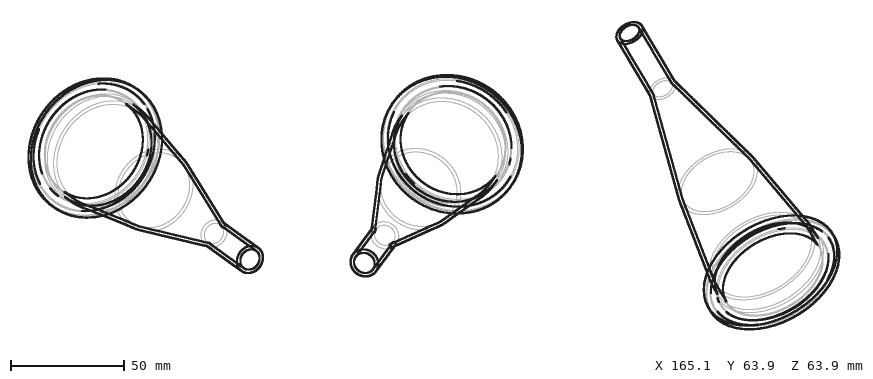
import math

import cadquery as cq

RIM_WIDTH = 2.8
COLLAR_END = 12.7
CONE_BREAK = 63.5
TUBE_START = 127.0
TOTAL_LENGTH = 165.1

FLANGE_DIAMETER = 63.91
LARGE_DIAMETER = 50.8
BREAK_DIAMETER = 38.1
TUBE_DIAMETER = 12.7
WALL = 1.65

BACK_ANGLE = 20.0
NECK_FILLET = 1.2

GROOVE_MEAN_DIAMETER = 56.3
GROOVE_WIDTH = 2.8
GROOVE_DEPTH = 1.4
GROOVE_EDGE_FILLET = 0.6

FACE_EDGE_FILLET = 0.38

MATCH_TOLERANCE = 0.01

AXIS_START = (0, 0, 0)
AXIS_END = (1, 0, 0)
FULL_TURN = 360


def revolve_about_x(profile):
    """Close a half section and turn it a full turn about the X axis."""
    return profile.close().revolve(FULL_TURN, AXIS_START, AXIS_END)


def make_flange():
    """Clamp flange: straight rim, then a back face sloping down to the neck."""
    flange_radius = FLANGE_DIAMETER / 2
    neck_radius = LARGE_DIAMETER / 2
    slope_length = (flange_radius - neck_radius) * math.tan(math.radians(BACK_ANGLE))
    neck_start = RIM_WIDTH + slope_length
    profile = (
        cq.Workplane("XY")
        .lineTo(0, flange_radius)
        .lineTo(RIM_WIDTH, flange_radius)
        .lineTo(neck_start, neck_radius)
        .lineTo(COLLAR_END, neck_radius)
        .lineTo(COLLAR_END, 0)
    )
    flange = revolve_about_x(profile)
    neck_corner = [
        edge
        for edge in flange.edges("%CIRCLE").vals()
        if abs(edge.Center().x - neck_start) < MATCH_TOLERANCE
    ]
    return flange.newObject(neck_corner).fillet(NECK_FILLET)


def make_reducer():
    """Two successive cones ending in a straight tube."""
    profile = (
        cq.Workplane("XY")
        .moveTo(COLLAR_END, 0)
        .lineTo(COLLAR_END, LARGE_DIAMETER / 2)
        .lineTo(CONE_BREAK, BREAK_DIAMETER / 2)
        .lineTo(TUBE_START, TUBE_DIAMETER / 2)
        .lineTo(TOTAL_LENGTH, TUBE_DIAMETER / 2)
        .lineTo(TOTAL_LENGTH, 0)
    )
    return revolve_about_x(profile)


def make_bore():
    """Through bore that follows the outside with a constant radial wall."""
    profile = (
        cq.Workplane("XY")
        .lineTo(0, LARGE_DIAMETER / 2 - WALL)
        .lineTo(COLLAR_END, LARGE_DIAMETER / 2 - WALL)
        .lineTo(CONE_BREAK, BREAK_DIAMETER / 2 - WALL)
        .lineTo(TUBE_START, TUBE_DIAMETER / 2 - WALL)
        .lineTo(TOTAL_LENGTH, TUBE_DIAMETER / 2 - WALL)
        .lineTo(TOTAL_LENGTH, 0)
    )
    return revolve_about_x(profile)


def make_groove():
    """Ring with an arc section for the gasket bead."""
    mean_radius = GROOVE_MEAN_DIAMETER / 2
    profile = (
        cq.Workplane("XY")
        .moveTo(0, mean_radius - GROOVE_WIDTH / 2)
        .threePointArc((GROOVE_DEPTH, mean_radius), (0, mean_radius + GROOVE_WIDTH / 2))
    )
    return revolve_about_x(profile)


def round_face_edges(body, edge_radii, fillet):
    """Round the circular edges of the ferrule face that have the given radii."""
    face_edges = body.faces("<X").edges("%CIRCLE").vals()
    picked = [
        edge
        for edge in face_edges
        if any(abs(edge.radius() - radius) < MATCH_TOLERANCE for radius in edge_radii)
    ]
    return body.newObject(picked).fillet(fillet)


groove_edge_radii = (
    (GROOVE_MEAN_DIAMETER - GROOVE_WIDTH) / 2,
    (GROOVE_MEAN_DIAMETER + GROOVE_WIDTH) / 2,
)
mouth_edge_radii = (LARGE_DIAMETER / 2 - WALL, FLANGE_DIAMETER / 2)

ferrule = make_flange().cut(make_groove())
ferrule = round_face_edges(ferrule, groove_edge_radii, GROOVE_EDGE_FILLET)
hollow_body = ferrule.union(make_reducer()).cut(make_bore())
result = round_face_edges(hollow_body, mouth_edge_radii, FACE_EDGE_FILLET)